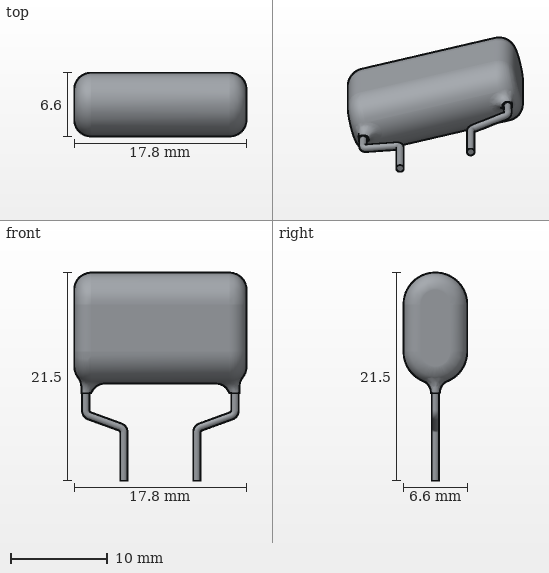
import cadquery as cq
import math

body_length = 17.8
body_depth = 6.6
body_height = 11.48
end_rounding = 1.76
top_z = 21.5
body_bottom_z = top_z - body_height
body_center_z = top_z - body_height / 2

wire_diameter = 0.8
wire_radius = wire_diameter / 2
root_x = 7.7
foot_x = 3.76
bend_radius = 0.6
bend_angle = 70.0
foot_bend_z = 4.99
socket_depth = 1.3

collar_radius = 0.47
collar_bottom_z = 9.05
collar_flare_radius = 1.5
collar_trim = 2.15


def lead_path():
    """Centre line of the right-hand lead, from its foot up into the body."""
    angle = math.radians(bend_angle)
    bend_dx = bend_radius * (1 - math.cos(angle))
    bend_dz = bend_radius * math.sin(angle)
    half_dx = bend_radius * (1 - math.cos(angle / 2))
    half_dz = bend_radius * math.sin(angle / 2)
    slope_dx = root_x - foot_x - 2 * bend_dx
    slope_dz = slope_dx / math.tan(angle)
    root_bend_z = foot_bend_z + 2 * bend_dz + slope_dz
    return (
        cq.Workplane("XZ")
        .moveTo(foot_x, 0)
        .lineTo(foot_x, foot_bend_z)
        .threePointArc(
            (foot_x + half_dx, foot_bend_z + half_dz),
            (foot_x + bend_dx, foot_bend_z + bend_dz),
        )
        .lineTo(root_x - bend_dx, root_bend_z - bend_dz)
        .threePointArc((root_x - half_dx, root_bend_z - half_dz), (root_x, root_bend_z))
        .lineTo(root_x, body_bottom_z + socket_depth)
    )


def make_lead(side):
    """One bent wire; side is 1 for the +X lead and -1 for the -X lead."""
    lead = cq.Workplane("XY").center(foot_x, 0).circle(wire_radius).sweep(lead_path())
    return lead if side > 0 else lead.mirror("YZ")


def make_capsule():
    """Rounded block without collars."""
    return (
        cq.Workplane("YZ")
        .center(0, body_center_z)
        .slot2D(body_height, body_depth, 90)
        .extrude(body_length / 2, both=True)
        .faces("<X or >X")
        .edges()
        .fillet(end_rounding)
    )


def add_collars(capsule):
    """Blend a flared collar into the underside at each lead, cut flat at its lower end."""
    stub_bottom_z = collar_bottom_z - collar_trim
    stubs = (
        cq.Workplane("XY", origin=(0, 0, stub_bottom_z))
        .pushPoints([(-root_x, 0), (root_x, 0)])
        .circle(collar_radius)
        .extrude(body_center_z - stub_bottom_z)
    )
    seam_zone = cq.selectors.BoxSelector(
        (-body_length, -2 * collar_radius, collar_bottom_z),
        (body_length, 2 * collar_radius, body_bottom_z + socket_depth),
    )
    seams = capsule.union(stubs).edges(seam_zone).edges("%BSPLINE")
    blended = seams.fillet(collar_flare_radius)
    trim = (
        cq.Workplane("XY", origin=(0, 0, stub_bottom_z))
        .rect(body_length, body_depth)
        .extrude(collar_trim)
    )
    return blended.cut(trim)


leads = [make_lead(side) for side in (-1, 1)]

body = add_collars(make_capsule())
for lead in leads:
    body = body.cut(lead)

result = cq.Compound.makeCompound([body.solids().val(), *[lead.solids().val() for lead in leads]])